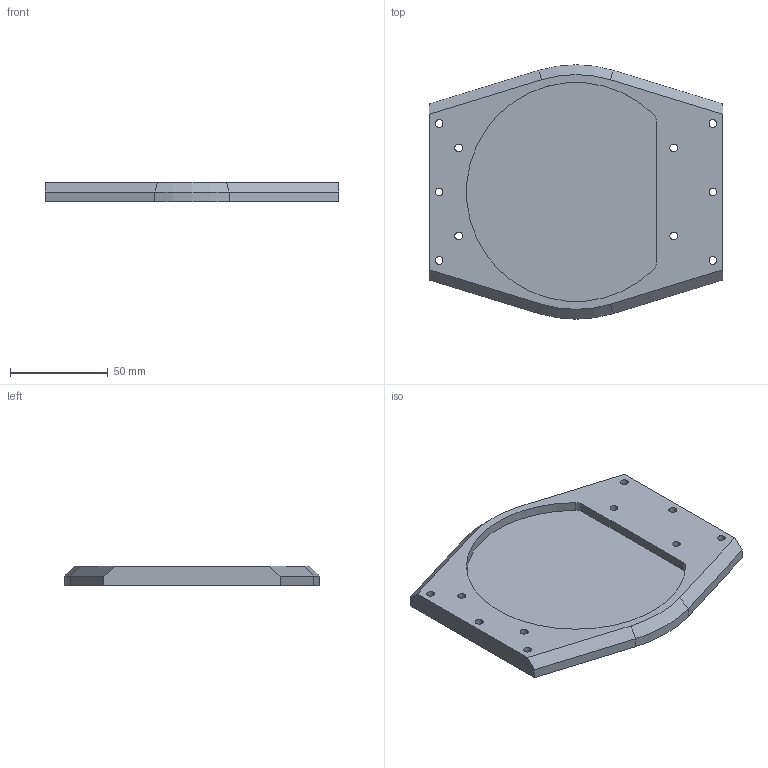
import cadquery as cq
import math

length = 150.0
end_width = 90.0
crown_radius = 65.0
thickness = 10.0
edge_chamfer = 5.0

pocket_radius = 56.0
pocket_flat_x = 41.0
pocket_corner_radius = 5.0
pocket_depth = 4.8

hole_diameter = 4.0
outer_hole_x = 70.0
outer_hole_y = 35.0
inner_hole_spacing_x = 110.0
inner_hole_shift_x = -5.0
inner_hole_y = 22.5


def make_plate():
    """Plate with crowned long sides: arcs about the origin, tangent to straight flanks."""
    corner_x = length / 2
    corner_y = end_width / 2
    corner_angle = math.atan2(corner_y, corner_x)
    corner_distance = math.hypot(corner_x, corner_y)
    tangent_angle = corner_angle + math.acos(crown_radius / corner_distance)
    tangent_x = crown_radius * math.cos(tangent_angle)
    tangent_y = crown_radius * math.sin(tangent_angle)

    plate = (
        cq.Workplane("XY")
        .moveTo(-corner_x, -corner_y)
        .lineTo(-tangent_x, -tangent_y)
        .threePointArc((0, -crown_radius), (tangent_x, -tangent_y))
        .lineTo(corner_x, -corner_y)
        .lineTo(corner_x, corner_y)
        .lineTo(tangent_x, tangent_y)
        .threePointArc((0, crown_radius), (-tangent_x, tangent_y))
        .lineTo(-corner_x, corner_y)
        .close()
        .extrude(thickness)
    )
    return plate.faces(">Z").edges("not(<X or >X)").chamfer(edge_chamfer)


def make_pocket():
    """Disc with one flat, its two corners rounded, reaching down from the top face."""
    flat_half_width = math.sqrt(pocket_radius**2 - pocket_flat_x**2)
    return (
        cq.Workplane("XY")
        .workplane(offset=thickness - pocket_depth)
        .moveTo(pocket_flat_x, -flat_half_width)
        .lineTo(pocket_flat_x, flat_half_width)
        .threePointArc((-pocket_radius, 0), (pocket_flat_x, -flat_half_width))
        .close()
        .extrude(pocket_depth)
        .edges("|Z")
        .fillet(pocket_corner_radius)
    )


def make_holes():
    """Round cutters for the fixing holes; the inner rectangle of four sits off-center in X."""
    centers = []
    for side in (-1, 1):
        for y in (-outer_hole_y, 0, outer_hole_y):
            centers.append((side * outer_hole_x, y))
        for y in (-inner_hole_y, inner_hole_y):
            centers.append((inner_hole_shift_x + side * inner_hole_spacing_x / 2, y))
    return cq.Workplane("XY").pushPoints(centers).circle(hole_diameter / 2).extrude(thickness)


result = make_plate().cut(make_pocket()).cut(make_holes())